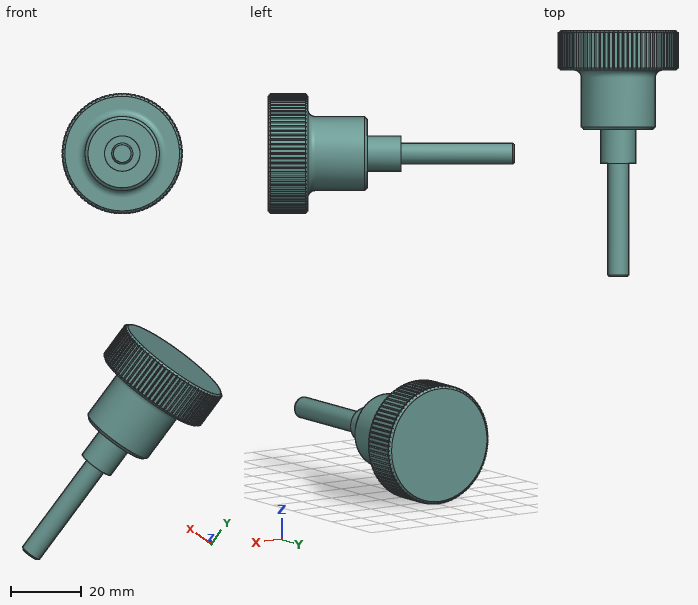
import cadquery as cq
import math

overall_length = 69.5
head_diameter = 34.0
head_thickness = 11.2
head_chamfer = 0.6
ridge_end_step = 0.175

hub_diameter = 21.0
hub_length = 16.8
hub_chamfer = 0.8
neck_fillet = 2.1

groove_count = 80
groove_width = 0.5
groove_depth = 0.4

collar_diameter = 10.0
collar_length = 9.5
pin_diameter = 6.0
pin_chamfer = 0.5

rear_y = overall_length / 2
head_front_y = rear_y - head_thickness
hub_front_y = head_front_y - hub_length
collar_front_y = hub_front_y - collar_length
tip_y = -overall_length / 2


def revolve_about_y(profile):
    return profile.close().revolve(360, (0, 0, 0), (0, 1, 0))


def make_groove_cutter():
    """V wedge along the top of the head; it doubles its rim width one groove depth above the rim."""
    head_radius = head_diameter / 2
    root_z = head_radius - groove_depth
    outer_z = head_radius + groove_depth
    return (
        cq.Workplane("XZ", origin=(0, rear_y, 0))
        .moveTo(0, root_z)
        .lineTo(groove_width, outer_z)
        .lineTo(-groove_width, outer_z)
        .close()
        .extrude(head_thickness)
    )


def make_knurled_head():
    head_radius = head_diameter / 2
    chamfer_radius = head_radius - ridge_end_step
    face_radius = chamfer_radius - head_chamfer
    ridge_rear_y = rear_y - head_chamfer
    ridge_front_y = head_front_y + head_chamfer
    head = revolve_about_y(
        cq.Workplane("XY")
        .moveTo(0, rear_y)
        .lineTo(face_radius, rear_y)
        .lineTo(chamfer_radius, ridge_rear_y)
        .lineTo(head_radius, ridge_rear_y)
        .lineTo(head_radius, ridge_front_y)
        .lineTo(chamfer_radius, ridge_front_y)
        .lineTo(face_radius, head_front_y)
        .lineTo(0, head_front_y)
    )
    groove = make_groove_cutter().val()
    pitch_angle = 360 / groove_count
    grooves = [groove.rotate((0, 0, 0), (0, 1, 0), i * pitch_angle) for i in range(groove_count)]
    return cq.Workplane(head.val().cut(*grooves))


def make_hub():
    """Chamfered cylinder that flares into the head with a concave fillet."""
    hub_radius = hub_diameter / 2
    fillet_end_y = head_front_y - neck_fillet
    fillet_mid_offset = neck_fillet * (1 - math.sqrt(0.5))
    return revolve_about_y(
        cq.Workplane("XY")
        .moveTo(0, head_front_y)
        .lineTo(hub_radius + neck_fillet, head_front_y)
        .threePointArc(
            (hub_radius + fillet_mid_offset, head_front_y - fillet_mid_offset),
            (hub_radius, fillet_end_y),
        )
        .lineTo(hub_radius, hub_front_y + hub_chamfer)
        .lineTo(hub_radius - hub_chamfer, hub_front_y)
        .lineTo(0, hub_front_y)
    )


def make_knob():
    return make_knurled_head().union(make_hub())


def make_stud():
    """Stepped stud that seats against the front face of the hub."""
    collar_radius = collar_diameter / 2
    pin_radius = pin_diameter / 2
    return revolve_about_y(
        cq.Workplane("XY")
        .moveTo(0, hub_front_y)
        .lineTo(collar_radius, hub_front_y)
        .lineTo(collar_radius, collar_front_y)
        .lineTo(pin_radius, collar_front_y)
        .lineTo(pin_radius, tip_y + pin_chamfer)
        .lineTo(pin_radius - pin_chamfer, tip_y)
        .lineTo(0, tip_y)
    )


knob = make_knob()
stud = make_stud()

result = cq.Compound.makeCompound([knob.val(), stud.val()])